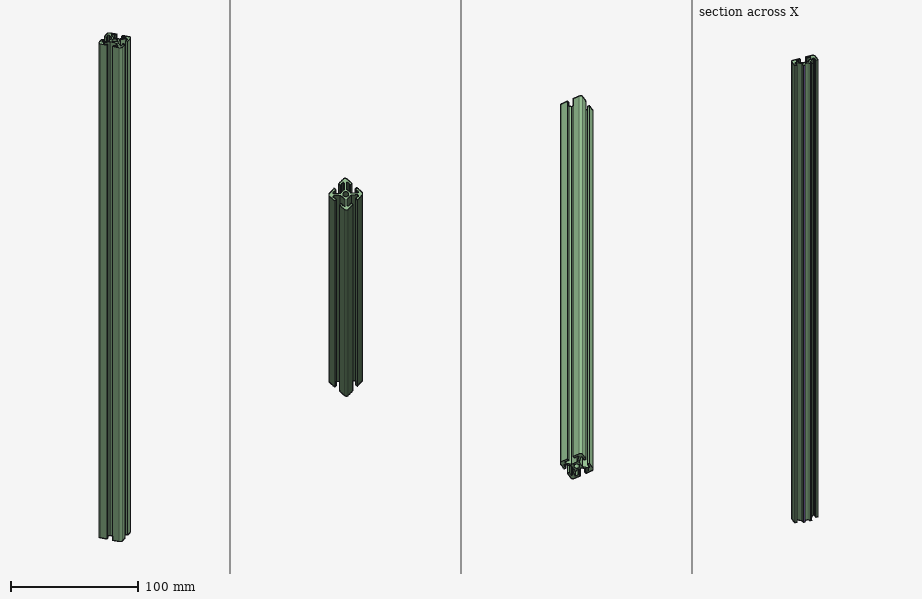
import cadquery as cq
import math

side = 20.0
length = 440.0
bore_diameter = 4.3
corner_radius = 2.0

slot_count = 4
mouth_width = 5.0
cavity_width = 12.0
lip_thickness = 1.9
lip_ridge_width = 7.5
lip_recess = 0.15
slot_depth = 6.35
web_thickness = 1.6


def make_bar():
    """Solid square bar with rounded long edges."""
    bar = cq.Workplane("XY").rect(side, side).extrude(length)
    return bar.edges("|Z").fillet(corner_radius)


def make_slot():
    """T-slot that opens on the +Y side, with ridged lips and 45 degree flanks along the webs."""
    outer = side / 2
    ridge_level = outer - lip_thickness
    recess_level = ridge_level + lip_recess
    ridge_half = lip_ridge_width / 2
    floor = outer - slot_depth
    mouth_half = mouth_width / 2
    cavity_half = cavity_width / 2
    web_offset = web_thickness / math.sqrt(2)
    flank_top = cavity_half + web_offset
    floor_half = floor - web_offset
    return (
        cq.Workplane("XY")
        .moveTo(-mouth_half, outer)
        .lineTo(-mouth_half, ridge_level)
        .lineTo(-ridge_half, ridge_level)
        .lineTo(-ridge_half, recess_level)
        .lineTo(-cavity_half, recess_level)
        .lineTo(-cavity_half, flank_top)
        .lineTo(-floor_half, floor)
        .lineTo(floor_half, floor)
        .lineTo(cavity_half, flank_top)
        .lineTo(cavity_half, recess_level)
        .lineTo(ridge_half, recess_level)
        .lineTo(ridge_half, ridge_level)
        .lineTo(mouth_half, ridge_level)
        .lineTo(mouth_half, outer)
        .close()
        .extrude(length)
    )


def make_bore():
    """Round bore through the core, end to end."""
    return cq.Workplane("XY").circle(bore_diameter / 2).extrude(length)


result = make_bar()
slot = make_slot()
for index in range(slot_count):
    angle = index * 360.0 / slot_count
    result = result.cut(slot.rotate((0, 0, 0), (0, 0, 1), angle))
result = result.cut(make_bore())